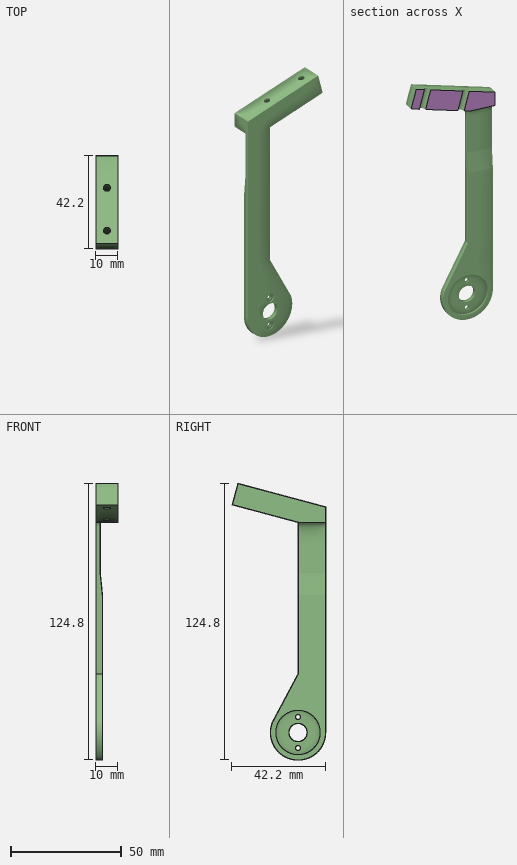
import cadquery as cq
import math


pivot_radius = 12.5
pivot_hole_diameter = 8.1
screw_hole_diameter = 2.2
screw_head_diameter = 4.2
screw_head_depth = 0.5
recess_depth = 1.0
recess_diameter = 20.0
screw_offset = 7.0

column_width = pivot_radius
lower_thickness = 3.0
upper_thickness = 2.0
flare_start_z = 26.4
flare_end_z = 4.45
taper_bottom_z = 62.0
taper_top_z = 72.0

overall_height = 124.83
arm_width = 10.0
arm_depth = 10.0
arm_length = 41.0
arm_angle = 15.0
arm_hole_diameter = 3.0
arm_hole_distances = (15.0, 35.0)

back_y = pivot_radius
front_y = back_y - column_width
arm_sin = math.sin(math.radians(arm_angle))
arm_cos = math.cos(math.radians(arm_angle))
tip_top_z = overall_height - pivot_radius
back_corner = (back_y, tip_top_z - arm_length * arm_sin)
tip_top = (back_y - arm_length * arm_cos, tip_top_z)
tip_bottom = (tip_top[0] - arm_depth * arm_sin, tip_top[1] - arm_depth * arm_cos)
inner_corner_z = back_corner[1] + column_width * arm_sin / arm_cos - arm_depth / arm_cos
inner_corner = (front_y, inner_corner_z)


def make_plate():
    """Round pivot end, flared column and arm outline, at the lower thickness."""
    flare_end_y = -math.sqrt(pivot_radius**2 - flare_end_z**2)
    return (
        cq.Workplane("YZ")
        .moveTo(back_y, 0)
        .lineTo(*back_corner)
        .lineTo(*tip_top)
        .lineTo(*tip_bottom)
        .lineTo(*inner_corner)
        .lineTo(front_y, flare_start_z)
        .lineTo(flare_end_y, flare_end_z)
        .threePointArc((0, -pivot_radius), (back_y, 0))
        .close()
        .extrude(lower_thickness)
    )


def make_arm():
    """Full-width arm, ending level with the inner corner on the column."""
    return (
        cq.Workplane("YZ")
        .polyline([back_corner, tip_top, tip_bottom, inner_corner, (back_y, inner_corner_z)])
        .close()
        .extrude(arm_width)
    )


def make_column_relief():
    """Cutter that thins the column below the arm, with a tapered lower end."""
    return (
        cq.Workplane("XZ", origin=(0, back_y, 0))
        .polyline([
            (upper_thickness, inner_corner_z),
            (upper_thickness, taper_top_z),
            (lower_thickness, taper_bottom_z),
            (lower_thickness, inner_corner_z),
        ])
        .close()
        .extrude(column_width)
    )


def cut_pivot_features(body):
    """Bore, shallow round recess behind it and two screw holes with shallow counterbores."""
    bore = cq.Workplane("YZ").circle(pivot_hole_diameter / 2).extrude(lower_thickness)
    recess = (
        cq.Workplane("YZ", origin=(lower_thickness - recess_depth, 0, 0))
        .circle(recess_diameter / 2)
        .extrude(recess_depth)
    )
    screws = cq.Workplane("YZ").pushPoints([(0, -screw_offset), (0, screw_offset)])
    shanks = screws.circle(screw_hole_diameter / 2).extrude(lower_thickness)
    heads = screws.circle(screw_head_diameter / 2).extrude(screw_head_depth)
    return body.cut(bore).cut(recess).cut(shanks).cut(heads)


def cut_arm_holes(body):
    """Through holes square to the tilted top face of the arm."""
    top_face = cq.Plane(
        origin=(arm_width / 2, *back_corner),
        xDir=(0, -arm_cos, arm_sin),
        normal=(0, arm_sin, arm_cos),
    )
    holes = (
        cq.Workplane(top_face)
        .pushPoints([(distance, 0) for distance in arm_hole_distances])
        .circle(arm_hole_diameter / 2)
        .extrude(-arm_depth)
    )
    return body.cut(holes)


plate = make_plate().cut(make_column_relief())
lever = plate.union(make_arm())
result = cut_arm_holes(cut_pivot_features(lever))